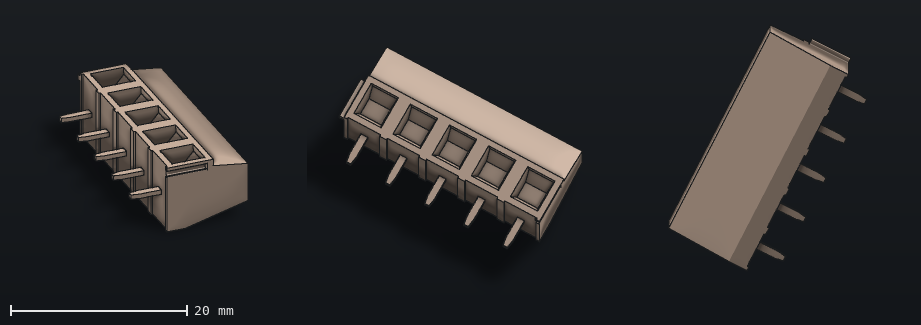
import cadquery as cq

total_length = 26.0
total_depth = 13.5
height = 8.2
pole_count = 5
tongue_reach = 0.6
body_length = total_length - tongue_reach
pitch = body_length / pole_count
body_depth = 10.0

step_depth = 5.72
step_drop = 0.83
rear_top_drop = 1.4
rear_bottom_rise = 2.0
flat_bottom_depth = 2.3

rib_width = 0.9
recess_depth = 0.2

socket_width = 3.54
socket_floor_width = 2.73
socket_front = 0.95
socket_rear = 5.02
socket_floor_front = 1.75
socket_floor_rear = 3.8
socket_depth = 1.92
socket_straight_depth = 0.8

pin_width = 0.9
pin_tip_width = 0.57
pin_thickness = 0.57
pin_taper_length = 1.01
pin_z = height / 2

joint_drop = 0.8
joint_z = height - joint_drop
joint_length = 5.02
tongue_tip_width = 0.85
tongue_neck_width = 0.68
tongue_tip_radius = 0.08
tongue_root_radius = 0.13
groove_reach = 0.7
groove_inner_width = 1.01
groove_neck_width = 0.7
groove_corner_radius = 0.15
groove_lip_radius = 0.1


def pole_centers():
    return [(pole + 0.5) * pitch for pole in range(pole_count)]


def make_body():
    outline = [
        (0, 0),
        (flat_bottom_depth, 0),
        (body_depth, rear_bottom_rise),
        (body_depth, height - rear_top_drop),
        (step_depth, height - step_drop),
        (step_depth, height),
        (0, height),
    ]
    return cq.Workplane("YZ").polyline(outline).close().extrude(body_length)


def make_recess(center_x):
    return cq.Workplane("XY").box(
        pitch - rib_width, recess_depth, height, centered=(True, False, False)
    ).translate((center_x, 0, 0))


def make_socket(center_x):
    """Sloping side, front and rear walls; the rear wall starts straight."""
    floor_z = height - socket_depth
    side_outline = [
        (socket_front, height),
        (socket_rear, height),
        (socket_rear, height - socket_straight_depth),
        (socket_floor_rear, floor_z),
        (socket_floor_front, floor_z),
    ]
    front_outline = [
        (center_x - socket_width / 2, height),
        (center_x + socket_width / 2, height),
        (center_x + socket_floor_width / 2, floor_z),
        (center_x - socket_floor_width / 2, floor_z),
    ]
    along_row = cq.Workplane("YZ").polyline(side_outline).close().extrude(body_length)
    through_depth = cq.Workplane("XZ").polyline(front_outline).close().extrude(-body_depth)
    return along_row.intersect(through_depth)


def make_pin(center_x):
    tip_y = body_depth - total_depth
    shoulder_y = tip_y + pin_taper_length
    outline = [
        (center_x - pin_width / 2, recess_depth),
        (center_x - pin_width / 2, shoulder_y),
        (center_x - pin_tip_width / 2, tip_y),
        (center_x + pin_tip_width / 2, tip_y),
        (center_x + pin_width / 2, shoulder_y),
        (center_x + pin_width / 2, recess_depth),
    ]
    plane = cq.Workplane("XY", origin=(0, 0, pin_z - pin_thickness / 2))
    return plane.polyline(outline).close().extrude(pin_thickness)


def make_tongue():
    """Dovetail rail that widens toward its rounded tip and is filleted into the body."""
    half_tip = tongue_tip_width / 2
    half_neck = tongue_neck_width / 2
    half_root = half_neck + tongue_root_radius
    tip_x = -tongue_reach
    shoulder_x = tip_x + tongue_tip_radius
    corner_z = half_tip - tongue_tip_radius
    plane = cq.Workplane("XZ", origin=(0, 0, joint_z))
    outline = (
        plane.moveTo(0, half_root)
        .radiusArc((-tongue_root_radius, half_neck), tongue_root_radius)
        .lineTo(shoulder_x, half_tip)
        .radiusArc((tip_x, corner_z), -tongue_tip_radius)
        .lineTo(tip_x, -corner_z)
        .radiusArc((shoulder_x, -half_tip), -tongue_tip_radius)
        .lineTo(-tongue_root_radius, -half_neck)
        .radiusArc((0, -half_root), tongue_root_radius)
        .close()
    )
    return outline.extrude(-joint_length)


def make_groove():
    """Slot matching the tongue, with rounded inner corners and rounded lips at its mouth."""
    half_inner = groove_inner_width / 2
    half_neck = groove_neck_width / 2
    half_mouth = half_neck + groove_lip_radius
    inner_x = body_length - groove_reach
    lip_x = body_length - groove_lip_radius
    corner_x = inner_x + groove_corner_radius
    corner_z = half_inner - groove_corner_radius
    plane = cq.Workplane("XZ", origin=(0, 0, joint_z))
    outline = (
        plane.moveTo(body_length, -half_mouth)
        .lineTo(body_length, half_mouth)
        .radiusArc((lip_x, half_neck), groove_lip_radius)
        .lineTo(corner_x, half_inner)
        .radiusArc((inner_x, corner_z), -groove_corner_radius)
        .lineTo(inner_x, -corner_z)
        .radiusArc((corner_x, -half_inner), -groove_corner_radius)
        .lineTo(lip_x, -half_neck)
        .radiusArc((body_length, -half_mouth), groove_lip_radius)
        .close()
    )
    return outline.extrude(-joint_length)


result = make_body().union(make_tongue()).cut(make_groove())
for center_x in pole_centers():
    result = result.cut(make_recess(center_x)).cut(make_socket(center_x))
    result = result.union(make_pin(center_x))